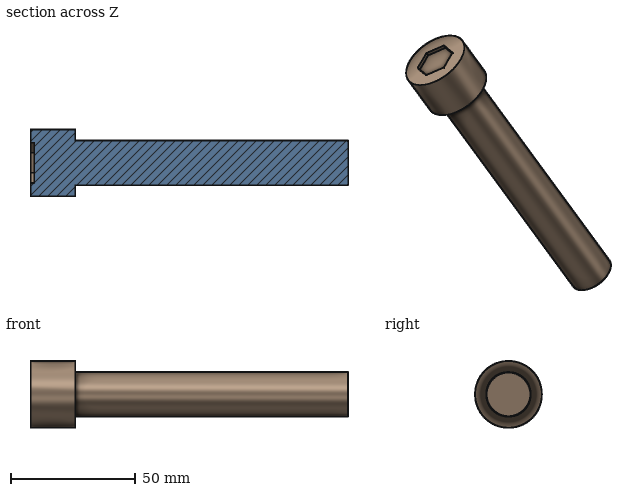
import cadquery as cq
import math

total_length = 128.0
head_diameter = 27.0
shank_diameter = 18.0
head_length = shank_diameter
shank_length = total_length - head_length
tip_chamfer = 0.3

socket_across_flats = 14.0
socket_across_corners = socket_across_flats / math.cos(math.pi / 6)
socket_depth = 1.4


def make_head():
    return cq.Workplane("YZ").circle(head_diameter / 2).extrude(head_length)


def make_shank():
    shank = (
        cq.Workplane("YZ", origin=(head_length, 0, 0))
        .circle(shank_diameter / 2)
        .extrude(shank_length)
    )
    return shank.faces(">X").chamfer(tip_chamfer)


def make_socket():
    return cq.Workplane("YZ").polygon(6, socket_across_corners).extrude(socket_depth)


result = make_head().union(make_shank()).cut(make_socket())